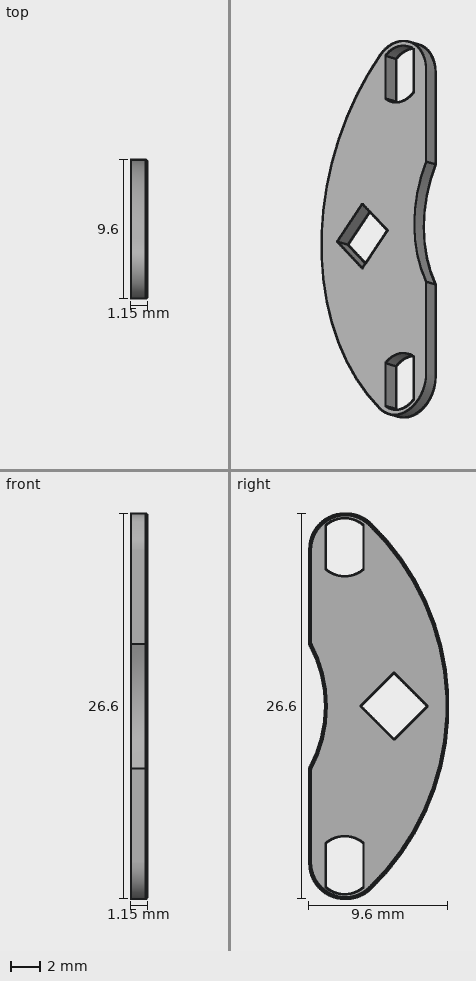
import cadquery as cq
import math

length = 26.6
width = 9.6
thickness = 1.15
edge_chamfer = 0.13

end_radius = 2.5
end_z = length / 2 - end_radius

notch_half_length = 4.28
notch_depth = 1.1

hole_diameter = 4.0
hole_flat_width = 2.58
hole_y = 2.45
hole_z = 10.95

square_side = 3.25
square_y = 5.85

back_reach = width - end_radius
back_center_y = (back_reach**2 - end_radius**2 - end_z**2) / (2 * (back_reach - end_radius))
tangent_angle = math.atan2(end_z, end_radius - back_center_y)


def end_point(angle):
    """Point on the upper end round, at an angle from +Y towards +Z."""
    return (
        end_radius + end_radius * math.cos(angle),
        end_z + end_radius * math.sin(angle),
    )


def mirrored(point):
    return (point[0], -point[1])


def make_plate():
    tangent_point = end_point(tangent_angle)
    round_middle = end_point((tangent_angle + math.pi) / 2)
    round_end = (0, end_z)
    notch_end = (0, notch_half_length)
    outline = (
        cq.Workplane("YZ")
        .moveTo(*mirrored(tangent_point))
        .threePointArc((width, 0), tangent_point)
        .threePointArc(round_middle, round_end)
        .lineTo(*notch_end)
        .threePointArc((notch_depth, 0), mirrored(notch_end))
        .lineTo(*mirrored(round_end))
        .threePointArc(mirrored(round_middle), mirrored(tangent_point))
        .close()
    )
    return outline.extrude(thickness).faces(">X").chamfer(edge_chamfer)


def make_double_flat_hole(z):
    center = (hole_y, z)
    cylinder = cq.Workplane("YZ").center(*center).circle(hole_diameter / 2).extrude(thickness)
    flats = cq.Workplane("YZ").center(*center).rect(hole_flat_width, hole_diameter).extrude(thickness)
    return cylinder.intersect(flats)


def make_square_hole():
    return (
        cq.Workplane("YZ")
        .center(square_y, 0)
        .transformed(rotate=(0, 0, 45))
        .rect(square_side, square_side)
        .extrude(thickness)
    )


result = make_plate().cut(make_square_hole())
for z in (-hole_z, hole_z):
    result = result.cut(make_double_flat_hole(z))